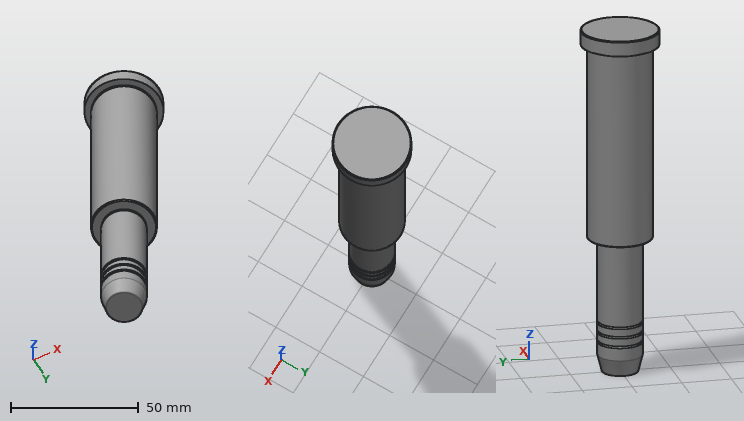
import cadquery as cq

total_length = 141.0
head_diameter = 31.0
head_height = 6.0
head_chamfer = 0.4

body_diameter = 26.0
body_bottom = 55.0
body_chamfer = 0.5

shank_diameter = 18.0
tip_length = 7.0
tip_diameter = 14.4
tip_fillet = 0.3

relief_width = 1.0
relief_depth = 0.3

groove_count = 3
groove_pitch = 4.0
groove_radius = 0.4
lowest_groove_center = 12.5


def cylinder(diameter, bottom, top):
    """Solid cylinder on the Z axis between two heights."""
    return cq.Workplane("XY").workplane(offset=bottom).circle(diameter / 2).extrude(top - bottom)


def cut_ring(part, diameter, depth, bottom, width):
    """Cut a rectangular groove into a cylinder of the given diameter."""
    collar = cylinder(diameter + depth, bottom, bottom + width)
    core = cylinder(diameter - 2 * depth, bottom, bottom + width)
    return part.cut(collar.cut(core))


head_bottom = total_length - head_height
head = cylinder(head_diameter, head_bottom, total_length).edges(">Z").chamfer(head_chamfer)
body = cylinder(body_diameter, body_bottom, head_bottom).edges("<Z").chamfer(body_chamfer)
shank = cylinder(shank_diameter, tip_length, body_bottom)

tip = (
    cq.Workplane("XY")
    .circle(tip_diameter / 2)
    .workplane(offset=tip_length)
    .circle(shank_diameter / 2)
    .loft()
    .edges("<Z")
    .fillet(tip_fillet)
)

result = head.union(body).union(shank).union(tip)

for diameter, shoulder in [(body_diameter, head_bottom), (shank_diameter, body_bottom)]:
    result = cut_ring(result, diameter, relief_depth, shoulder - relief_width, relief_width)

for index in range(groove_count):
    groove_center = lowest_groove_center + index * groove_pitch
    groove_ring = cq.Solid.makeTorus(
        shank_diameter / 2, groove_radius, cq.Vector(0, 0, groove_center), cq.Vector(0, 0, 1)
    )
    result = result.cut(cq.Workplane(groove_ring))